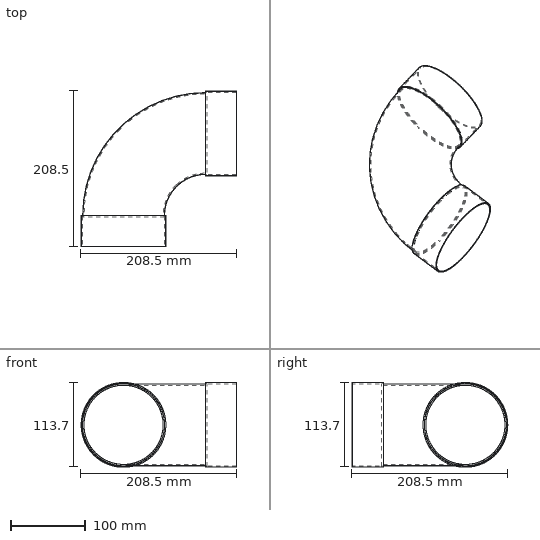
import cadquery as cq

overall_size = 208.5
socket_diameter = 113.7
socket_length = 41.7
tube_diameter = 110.0
socket_bore = 110.1
bore_diameter = 106.2
taper_length = 2.0

bend_radius = overall_size - socket_length - socket_diameter / 2
bend_end_y = socket_length + bend_radius
outlet_mouth_x = bend_radius + socket_length


def swept_elbow(diameter):
    """Solid quarter bend from the inlet socket to the outlet socket."""
    path = (
        cq.Workplane("XY")
        .moveTo(0, socket_length)
        .radiusArc((bend_radius, bend_end_y), bend_radius)
    )
    start = cq.Workplane("XZ", origin=(0, socket_length, 0)).circle(diameter / 2)
    return start.sweep(path)


def place_at_both_mouths(body):
    """Copy a body of revolution, mouth at the origin and reaching along +Y, to both mouths."""
    outlet = (
        body
        .rotate((0, 0, 0), (0, 0, 1), 90)
        .translate((outlet_mouth_x, bend_end_y, 0))
    )
    return body.union(outlet)


def socket_outside():
    """Plain solid cylinder of one socket."""
    return cq.Workplane("XZ").circle(socket_diameter / 2).extrude(-socket_length)


def socket_cavity():
    """Socket bore that tapers down to the bend bore where the bend begins."""
    taper_start_y = socket_length - taper_length
    half_profile = (
        cq.Workplane("XY")
        .lineTo(socket_bore / 2, 0)
        .lineTo(socket_bore / 2, taper_start_y)
        .lineTo(bore_diameter / 2, socket_length)
        .lineTo(0, socket_length)
        .close()
    )
    return half_profile.revolve(360, (0, 0, 0), (0, 1, 0))


outside = swept_elbow(tube_diameter).union(place_at_both_mouths(socket_outside()))
inside = swept_elbow(bore_diameter).union(place_at_both_mouths(socket_cavity()))
result = outside.cut(inside)